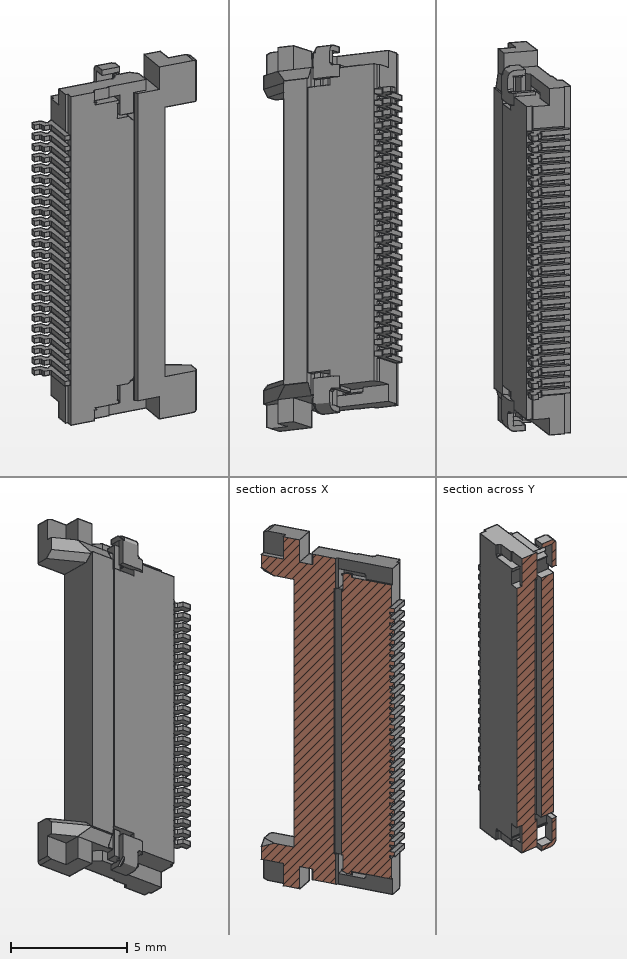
import cadquery as cq


ear_z = 8.25
clip_z = 8.02
arm_z = 7.70
lug_z = 7.55
actuator_z = 7.20
flange_z = 7.10
body_z = 6.955
bar_z = 6.67
clip_foot_z = 6.57
ear_inner_z = 6.31
shell_z = 6.26

shell_x = 0.155
arm_x = 1.15
housing_x = 2.15
floor_x = 1.90
rear_y = 0.90
shell_end_y = 4.22
notch_y = 3.13
step_y = 3.19
floor_chamfer_y = 3.66
floor_end_y = 3.90
neck_x = 0.50
tunnel_x = 0.83
tunnel_end_y = 3.54

arm_front_x = 1.87
arm_end_y = 4.63
arm_tip_x = 0.85
arm_tip_chamfer = 0.30
arm_root_y = 3.37
arm_root_chamfer_x = 0.17
arm_root_chamfer_y = 0.21
arm_relief_x = 1.935
arm_relief_y = 2.81
arm_relief_end_y = 2.02
arm_relief_chamfer = 0.10
slot_end_y = 2.07
slot_chamfer = 0.07
slot_recess_x = 1.34

pad_x = (0.40, 1.845)
pad_y = 0.79
tail_count = 24
tail_pitch = 0.5
tail_width = 0.22
tail_x = 2.05
tail_gap = 0.07
tail_bar_y = 0.65
tail_root_x = 0.18
tail_knee_x = (0.33, 0.67)
tail_foot_x = (0.10, 0.41)
tail_foot_y = (0.30, 0.44)
tail_bend_step = 0.06
tail_tip_chamfer = 0.05

actuator_x = 2.05
ear_end_y = 7.00
ear_back_y = 5.17
ear_step_y = 5.96
ear_step_x = 1.31
ear_slope_x = 1.05
ear_chamfer_x = 0.10
ear_chamfer_y = 0.20
ear_corner_chamfer = 0.08
slope_foot_x = 0.52
bar_end_y = 5.45
bar_back_y = 4.28
bar_slope_x = 0.25
actuator_back_y = 4.03
actuator_back_chamfer = 0.12
ear_inner_chamfer = 0.30

clip_thickness = 0.25
clip_bend_radius = 0.33
clip_bend_end_y = 3.78
clip_hook_x = 0.80
clip_y = (3.04, 3.88)
clip_heel_y = 2.97
joggle_end_y = 2.65
joggle_radius = 0.40
heel_slope_z = 7.20
flange_y = 2.69
flange_slope_y = 2.94
flange_slope_drop = 0.10

lug_x = (0.38, arm_tip_x)
lug_y = (arm_root_y + arm_root_chamfer_y, 3.73)
lug_slope_x = (0.57, 0.77)


def box(x, y, z):
    """Box between (low, high) pairs along each axis."""
    size = (x[1] - x[0], y[1] - y[0], z[1] - z[0])
    return cq.Workplane("XY").box(*size, centered=False).translate((x[0], y[0], z[0]))


def prism_z(points, z):
    """Outline in X and Y, extruded between two Z levels."""
    return cq.Workplane("XY").workplane(offset=z[0]).polyline(points).close().extrude(z[1] - z[0])


def prism_y(points, y):
    """Outline in X and Z, extruded between two Y positions."""
    outline = cq.Workplane("XZ", origin=(0, y[0], 0)).polyline(points).close()
    return outline.extrude(y[0] - y[1])


def prism_x(points, x):
    """Outline in Y and Z, extruded between two X positions."""
    return cq.Workplane("YZ").workplane(offset=x[0]).polyline(points).close().extrude(x[1] - x[0])


def make_core():
    """Full-length housing, with the tunnel along Z between its upper and lower walls."""
    core = box((shell_x, housing_x), (rear_y, notch_y), (-body_z, body_z))
    wall = box((shell_x, floor_x), (notch_y, shell_end_y), (-shell_z, shell_z))
    floor = box((floor_x, housing_x), (notch_y, floor_end_y), (-shell_z, shell_z))
    floor = floor.faces(">Y").edges("|X").chamfer(floor_end_y - floor_chamfer_y)
    tunnel = box((tunnel_x, arm_x), (step_y, tunnel_end_y), (-body_z, body_z))
    return core.union(wall).union(floor).cut(tunnel)


def make_arm():
    """Side arm with a hinge post below its tip.

    A slot that opens toward the actuator splits the arm from the body.
    """
    root_points = [
        (arm_tip_x, arm_root_y + arm_root_chamfer_y),
        (arm_x - arm_root_chamfer_x, arm_root_y + arm_root_chamfer_y),
        (arm_x, arm_root_y),
    ]
    outline = [
        (arm_x, rear_y),
        (housing_x, rear_y),
        (housing_x, arm_relief_end_y),
        (arm_relief_x + arm_relief_chamfer, arm_relief_end_y),
        (arm_relief_x, arm_relief_end_y + arm_relief_chamfer),
        (arm_relief_x, arm_relief_y),
        (arm_front_x, arm_relief_y),
        (arm_front_x, arm_end_y),
        (arm_tip_x + arm_tip_chamfer, arm_end_y),
        (arm_tip_x, arm_end_y - arm_tip_chamfer),
        *root_points,
    ]
    arm = prism_z(outline, (actuator_z, arm_z))
    hinge_outline = [
        (arm_tip_x, actuator_back_y),
        *root_points,
        (arm_front_x, arm_root_y),
        (arm_front_x, actuator_back_y),
    ]
    arm = arm.union(prism_z(hinge_outline, (shell_z, actuator_z)))
    root_profile = [
        (rear_y, body_z),
        (slot_end_y, body_z),
        (slot_end_y, flange_z),
        (slot_end_y + slot_chamfer, actuator_z),
        (rear_y, actuator_z),
    ]
    ledge = box((slot_recess_x, housing_x), (slot_end_y, step_y), (body_z, flange_z))
    return arm.union(prism_x(root_profile, (arm_x, housing_x))).union(ledge)


def tail_levels():
    """Z of the middle of every contact tail."""
    first = -tail_pitch * (tail_count - 1) / 2
    return [first + i * tail_pitch for i in range(tail_count)]


def make_pads():
    """Raised strip on the rear face, interrupted by a sloped-sided slot at each tail."""
    pads = box(pad_x, (pad_y, rear_y), (-body_z, body_z))
    pads = pads.union(box((arm_x, pad_x[1]), (pad_y, rear_y), (-arm_z, arm_z)))
    half = tail_width / 2
    depth = rear_y - pad_y
    slot_profile = [
        (rear_y, -half - tail_gap),
        (rear_y, half),
        (pad_y, half + depth),
        (pad_y, -half - tail_gap),
    ]
    slot = prism_x(slot_profile, pad_x)
    for z in tail_levels():
        pads = pads.cut(slot.translate((0, 0, z)))
    return pads


def make_tail():
    """Bent solder tail centred on Z = 0."""
    outline = [
        (tail_root_x, rear_y),
        (tail_knee_x[0] + tail_bend_step, tail_bar_y),
        (tail_knee_x[0], tail_foot_y[1] + 2 * tail_bend_step),
        (tail_foot_x[0], tail_foot_y[1]),
        (tail_foot_x[0], tail_tip_chamfer),
        (tail_foot_x[0] + tail_tip_chamfer, 0),
        (tail_foot_x[1], 0),
        (tail_foot_x[1], tail_foot_y[0] - tail_bend_step),
        (tail_foot_x[1] + tail_bend_step, tail_foot_y[0]),
        (tail_knee_x[1] - tail_bend_step, tail_foot_y[0]),
        (tail_knee_x[1], tail_foot_y[0] + tail_bend_step),
        (tail_knee_x[1], tail_bar_y - tail_bend_step),
        (tail_knee_x[1] + tail_bend_step, tail_bar_y),
        (tail_x, tail_bar_y),
        (tail_x, rear_y),
    ]
    return prism_z(outline, (-tail_width / 2, tail_width / 2))


actuator_back = [
    (neck_x, bar_back_y),
    (neck_x, actuator_back_y),
    (actuator_x - actuator_back_chamfer, actuator_back_y),
    (actuator_x, actuator_back_y + actuator_back_chamfer),
]


def make_actuator_bar():
    """Full-length bar between the ears; its back edge is stepped around the shell."""
    outline = [
        (shell_x, bar_back_y),
        *actuator_back,
        (actuator_x, bar_end_y),
        (shell_x, bar_end_y),
    ]
    return prism_z(outline, (-bar_z, bar_z))


def make_ear():
    """Actuator end: sloped side piece and the L-shaped block above it."""
    side_outline = [
        (bar_slope_x, bar_back_y),
        *actuator_back,
        (actuator_x, ear_end_y),
        (ear_slope_x, ear_end_y),
        (bar_slope_x, bar_end_y),
    ]
    side = prism_z(side_outline, (ear_inner_z, actuator_z))
    slope_middle = ((ear_slope_x + bar_slope_x) / 2, (ear_end_y + bar_end_y) / 2, ear_inner_z)
    side = side.edges(cq.NearestToPointSelector(slope_middle)).chamfer(ear_inner_chamfer)
    bevel = [
        (bar_slope_x, bar_z),
        (slope_foot_x, actuator_z),
        (bar_slope_x, actuator_z),
    ]
    side = side.cut(prism_y(bevel, (actuator_back_y, ear_end_y)))

    block_outline = [
        (slope_foot_x, ear_back_y),
        (actuator_x, ear_back_y),
        (actuator_x, ear_end_y),
        (ear_step_x, ear_end_y),
        (ear_step_x, ear_step_y),
        (slope_foot_x, ear_step_y),
    ]
    block = prism_z(block_outline, (actuator_z, ear_z))
    block = block.faces(">Y").edges(">Z").chamfer(ear_corner_chamfer, ear_chamfer_y)
    ear = side.union(block)
    corner = [
        (actuator_x, ear_end_y - ear_chamfer_x),
        (actuator_x, ear_end_y),
        (actuator_x - ear_chamfer_x, ear_end_y),
    ]
    return ear.cut(prism_z(corner, (ear_inner_z, ear_z)))


def make_lug():
    """Pivot lug at the back of the actuator, with a sloped underside."""
    outline = [
        (lug_x[0], actuator_back_y),
        (lug_x[0], lug_y[1]),
        (lug_slope_x[0], lug_y[1]),
        (lug_slope_x[1], lug_y[0]),
        (lug_x[1], lug_y[0]),
        (lug_x[1], actuator_back_y),
    ]
    return prism_z(outline, (shell_z, lug_z))


def make_clip():
    """Hooked retaining clip that joggles down onto the shell and carries a flange.

    The hook bend is round, except for a flat chamfer near its +Y edge.
    """
    leg = box((0, clip_thickness), (clip_heel_y, clip_y[1]), (clip_foot_z, clip_z))
    top = box((0, clip_hook_x), clip_y, (clip_z - clip_thickness, clip_z))
    heel = [
        (clip_heel_y, heel_slope_z - (clip_y[0] - clip_heel_y)),
        (clip_y[0], heel_slope_z),
        (clip_y[0], clip_z),
        (clip_heel_y, clip_z),
    ]
    hook = leg.cut(prism_x(heel, (0, clip_thickness))).union(top)
    hook = hook.edges("|Y and <X and >Z").fillet(clip_bend_radius)

    corner = [
        (0, clip_z - clip_bend_radius),
        (0, clip_z),
        (clip_bend_radius, clip_z),
    ]
    hook = hook.cut(prism_y(corner, (clip_bend_end_y, clip_y[1])))

    joggle = (
        cq.Workplane("XY")
        .workplane(offset=clip_foot_z)
        .moveTo(0, clip_heel_y)
        .radiusArc((shell_x, joggle_end_y), -joggle_radius)
        .lineTo(clip_thickness, joggle_end_y)
        .lineTo(clip_thickness, clip_heel_y)
        .close()
        .extrude(flange_z - clip_foot_z)
    )
    flange_profile = [
        (flange_y, body_z),
        (step_y, body_z),
        (step_y, flange_z - flange_slope_drop),
        (flange_slope_y, flange_z),
        (flange_y, flange_z),
    ]
    flange = prism_x(flange_profile, (shell_x, arm_x))
    return hook.union(joggle).union(flange)


result = make_core().union(make_pads()).union(make_actuator_bar())
for end_part in (make_arm(), make_ear(), make_lug(), make_clip()):
    result = result.union(end_part).union(end_part.mirror("XY"))
tail = make_tail()
for level in tail_levels():
    result = result.union(tail.translate((0, 0, level)))